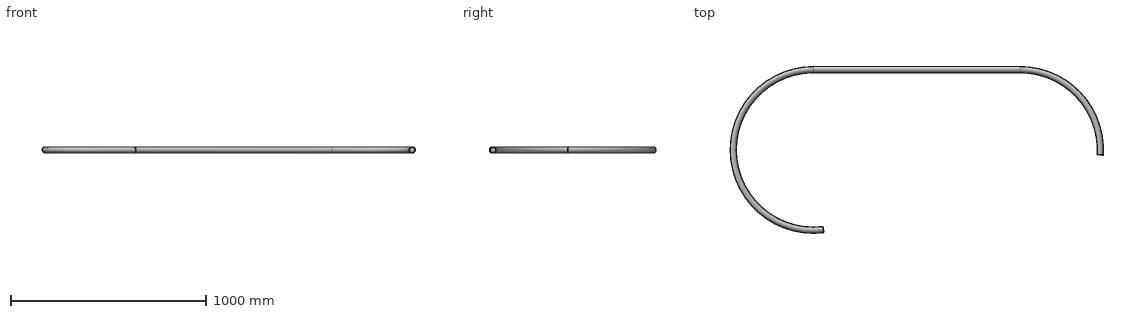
import cadquery as cq
import math

length = 1914.0
width = 855.0
rod_diameter = 33.0

hook_overrun = 52.0
elbow_overrun = 27.0

end_chamfer = 3.0

rod_radius = rod_diameter / 2
bend_radius = (width - rod_diameter) / 2
straight_length = length - 2 * bend_radius - rod_diameter
half_straight = straight_length / 2

hook_angle = 180 + math.degrees(math.asin(hook_overrun / bend_radius))
elbow_angle = 90 + math.degrees(math.asin(elbow_overrun / bend_radius))


def straight_rod():
    """Straight middle section along X, centred on the origin."""
    profile = cq.Workplane("YZ", origin=(-half_straight, 0, 0)).circle(rod_radius)
    return profile.extrude(straight_length)


def bend_about_z(start_x, angle, turn):
    """Round rod bent about a Z axis on its -Y side; turn is +1 or -1 about Z."""
    profile = cq.Workplane("YZ", origin=(start_x, 0, 0)).circle(rod_radius)
    return profile.revolve(angle, (-bend_radius, 0, 0), (-bend_radius, turn, 0))


hook = bend_about_z(-half_straight, hook_angle, 1).faces(">X").chamfer(end_chamfer)
elbow = bend_about_z(half_straight, elbow_angle, -1).faces("<Y").chamfer(end_chamfer)

result = straight_rod().union(hook).union(elbow)